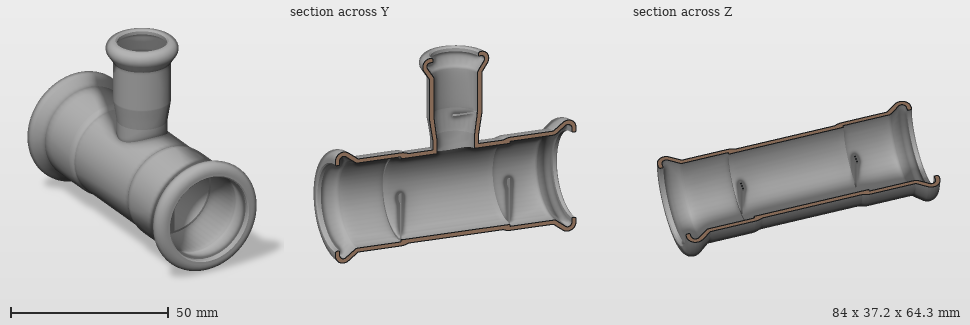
import cadquery as cq
import math


LENGTH = 84.0
HEIGHT = 64.3

RUN_SOCKET = {
    "bead_radius": 37.2 / 2,
    "bead_round": 2.9,
    "flank_angle": 36.0,
    "outer": 15.6,
    "inner": 14.1,
    "depth": 22.9,
    "lip_inner": 14.2,
    "lip_chamfer": 0.4,
    "tab_disc": 1.8,
    "tab_width": 1.35,
}
BRANCH_SOCKET = {
    "bead_radius": 11.6,
    "bead_round": 2.7,
    "flank_angle": 34.0,
    "outer": 9.2,
    "inner": 7.5,
    "depth": 20.2,
    "lip_inner": 7.9,
    "lip_chamfer": 0.5,
    "tab_disc": 1.0,
    "tab_width": 0.8,
}

BEAD_WALL = 1.6
ENTRY_ROUND = 1.4
TAB_THICKNESS = 0.3

RUN_OUTER = 15.0
RUN_BORE = 13.4
SHOULDER_LENGTH = 2.5

NECK_OUTER = 8.1
NECK_BORE = 6.5
REDUCER_LENGTH = 7.4
REDUCER_ROUND = 2.5

BRANCH_TOP = HEIGHT - RUN_SOCKET["bead_radius"]


def arc_point(center, radius, angle):
    """Point on an (r, depth) arc, the angle turning from +r towards greater depth."""
    a = math.radians(angle)
    return center[0] + radius * math.cos(a), center[1] + radius * math.sin(a)


def flank_end(start, flank_angle, radius):
    """Where the sloping flank that leaves start comes down to the given radius."""
    return radius, start[1] + (start[0] - radius) / math.tan(math.radians(flank_angle))


def bead_center(socket):
    """Center of the bead's section as (r, depth)."""
    return socket["bead_radius"] - socket["bead_round"], socket["bead_round"]


def revolve_profile(profile):
    """Turn an (r, depth) profile about the depth axis, which is +Y."""
    return profile.close().revolve(360, (0, 0), (0, 1))


def socket_outside(socket):
    """Outer profile of a socket from the middle of its mouth to its full depth, left open."""
    center = bead_center(socket)
    angle = socket["flank_angle"]
    flank_start = arc_point(center, socket["bead_round"], angle)
    return (
        cq.Workplane("XY")
        .lineTo(center[0], 0)
        .threePointArc(arc_point(center, socket["bead_round"], (angle - 90) / 2), flank_start)
        .lineTo(*flank_end(flank_start, angle, socket["outer"]))
        .lineTo(socket["outer"], socket["depth"])
    )


def socket_inside(socket):
    """Inner profile, left open: chamfered lip, seal groove in the bead, rounded entry, bore."""
    center = bead_center(socket)
    angle = socket["flank_angle"]
    inner = socket["inner"]
    lip = socket["lip_inner"]
    chamfer = socket["lip_chamfer"]
    groove_round = socket["bead_round"] - BEAD_WALL
    flank_start = arc_point(center, groove_round, angle)
    corner = flank_end(flank_start, angle, inner)
    entry_depth = corner[1] + ENTRY_ROUND * math.tan(math.radians(angle / 2))
    entry_center = (inner + ENTRY_ROUND, entry_depth)
    return (
        cq.Workplane("XY")
        .lineTo(lip + chamfer, 0)
        .lineTo(lip, chamfer)
        .lineTo(lip, BEAD_WALL)
        .lineTo(center[0], BEAD_WALL)
        .threePointArc(arc_point(center, groove_round, (angle - 90) / 2), flank_start)
        .lineTo(*arc_point(entry_center, ENTRY_ROUND, 180 + angle))
        .threePointArc(arc_point(entry_center, ENTRY_ROUND, 180 + angle / 2), (inner, entry_depth))
        .lineTo(inner, socket["depth"])
    )


def socket_tab(socket):
    """Thin keyhole-shaped tab at the socket bottom: a disc on the axis with a bar to the wall."""
    bar_length = socket["inner"] + BEAD_WALL / 2
    plane = cq.Workplane("XZ", origin=(0, socket["depth"], 0))
    disc = plane.circle(socket["tab_disc"]).extrude(-TAB_THICKNESS)
    bar = plane.rect(bar_length, socket["tab_width"]).extrude(-TAB_THICKNESS)
    return disc.union(bar.translate((bar_length / 2, 0, 0)))


def run_outside():
    """Outside of half the run: socket, arched shoulder down to the tube, tube to the middle."""
    outer = RUN_SOCKET["outer"]
    depth = RUN_SOCKET["depth"]
    drop = outer - RUN_OUTER
    shoulder_round = (SHOULDER_LENGTH**2 + drop**2) / (2 * drop)
    shoulder_angle = math.degrees(math.asin(SHOULDER_LENGTH / shoulder_round))
    shoulder_center = (outer - shoulder_round, depth)
    return revolve_profile(
        socket_outside(RUN_SOCKET)
        .threePointArc(
            arc_point(shoulder_center, shoulder_round, shoulder_angle / 2),
            (RUN_OUTER, depth + SHOULDER_LENGTH),
        )
        .lineTo(RUN_OUTER, LENGTH / 2)
        .lineTo(0, LENGTH / 2)
    )


def run_inside():
    """Inside of half the run: socket, flat stop, tube bore."""
    return revolve_profile(
        socket_inside(RUN_SOCKET)
        .lineTo(RUN_BORE, RUN_SOCKET["depth"])
        .lineTo(RUN_BORE, LENGTH / 2)
        .lineTo(0, LENGTH / 2)
    )


def branch_outside():
    """Branch socket, reducer cone with a softened top edge, and neck down to the run axis."""
    outer = BRANCH_SOCKET["outer"]
    depth = BRANCH_SOCKET["depth"]
    taper = math.degrees(math.atan((outer - NECK_OUTER) / REDUCER_LENGTH))
    round_center = (outer - REDUCER_ROUND, depth)
    return revolve_profile(
        socket_outside(BRANCH_SOCKET)
        .threePointArc(
            arc_point(round_center, REDUCER_ROUND, taper / 2),
            arc_point(round_center, REDUCER_ROUND, taper),
        )
        .lineTo(NECK_OUTER, depth + REDUCER_LENGTH)
        .lineTo(NECK_OUTER, BRANCH_TOP)
        .lineTo(0, BRANCH_TOP)
    )


def branch_inside():
    """Inside of the branch: socket, reducer cone, neck bore down to the run axis."""
    return revolve_profile(
        socket_inside(BRANCH_SOCKET)
        .lineTo(NECK_BORE, BRANCH_SOCKET["depth"] + REDUCER_LENGTH)
        .lineTo(NECK_BORE, BRANCH_TOP)
        .lineTo(0, BRANCH_TOP)
    )


def on_left_end(body):
    """Point the depth axis along +X, with the mouth at the left end of the run."""
    return body.rotate((0, 0, 0), (0, 0, 1), -90).translate((-LENGTH / 2, 0, 0))


def on_both_ends(body):
    """The body at the left end together with its mirror image at the right end."""
    left = on_left_end(body)
    return left.union(left.mirror("YZ"))


def on_branch(body):
    """Point the depth axis along -Z, with the mouth at the top of the branch."""
    return body.rotate((0, 0, 0), (1, 0, 0), -90).translate((0, 0, BRANCH_TOP))


run_tab = socket_tab(RUN_SOCKET).rotate((0, 0, 0), (0, 1, 0), 90)
branch_tab = socket_tab(BRANCH_SOCKET)

result = (
    on_both_ends(run_outside())
    .union(on_branch(branch_outside()))
    .cut(on_both_ends(run_inside()))
    .cut(on_branch(branch_inside()))
    .union(on_both_ends(run_tab))
    .union(on_branch(branch_tab))
)